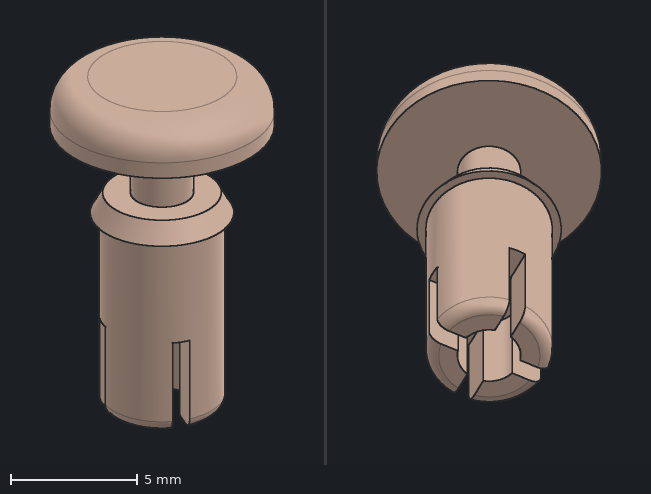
import cadquery as cq

sleeve_diameter = 5.0
sleeve_bore_diameter = 2.5
sleeve_height = 9.44
collar_height = 0.9
collar_bottom_diameter = 5.7
collar_top_diameter = 4.7
tip_rounding = 0.5
slot_width = 0.7
slot_height = 4.0

overall_height = 14.64
head_diameter = 8.9
head_thickness = 2.2
head_rounding = 1.5
shank_diameter = sleeve_bore_diameter
shank_bottom = slot_height

head_bottom = overall_height - head_thickness
collar_bottom = sleeve_height - collar_height


def cross_slots():
    """Two crossing slots that split the lower end of the sleeve into four legs."""
    along_x = cq.Workplane("XY").box(
        sleeve_diameter, slot_width, slot_height, centered=(True, True, False)
    )
    return along_x.union(along_x.rotate((0, 0, 0), (0, 0, 1), 90))


def make_sleeve():
    """Tube topped by a conical collar, with a rounded tip, a through bore and crossed slots."""
    tube = (
        cq.Workplane("XY")
        .circle(sleeve_diameter / 2)
        .extrude(collar_bottom)
        .faces("<Z")
        .edges()
        .fillet(tip_rounding)
    )
    collar = (
        cq.Workplane("XY", origin=(0, 0, collar_bottom))
        .circle(collar_bottom_diameter / 2)
        .workplane(offset=collar_height)
        .circle(collar_top_diameter / 2)
        .loft()
    )
    bore = cq.Workplane("XY").circle(sleeve_bore_diameter / 2).extrude(sleeve_height)
    return tube.union(collar).cut(bore).cut(cross_slots())


def make_push_pin():
    """Round head with a rounded rim, on a shank that ends above the slots."""
    head = (
        cq.Workplane("XY", origin=(0, 0, head_bottom))
        .circle(head_diameter / 2)
        .extrude(head_thickness)
        .faces(">Z")
        .edges()
        .fillet(head_rounding)
    )
    shank = (
        cq.Workplane("XY", origin=(0, 0, shank_bottom))
        .circle(shank_diameter / 2)
        .extrude(head_bottom - shank_bottom)
    )
    return head.union(shank)


sleeve = make_sleeve()
push_pin = make_push_pin()

result = cq.Compound.makeCompound([sleeve.val(), push_pin.val()])